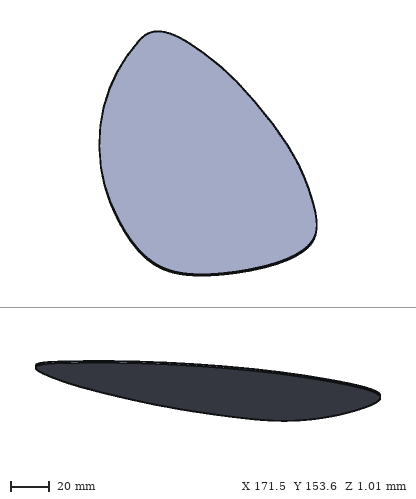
import cadquery as cq

thickness = 1.01

outline_points = [
    (-85.5, 62.0),
    (-75.8, 25.9),
    (-39.6, -30.5),
    (0.7, -63.8),
    (39.1, -76.5),
    (67.5, -57.5),
    (84.7, -11.5),
    (66.0, 13.0),
    (36.9, 35.8),
    (-14.0, 62.0),
    (-55.4, 75.0),
    (-85.0, 70.3),
]

outline = cq.Workplane("XY").spline(outline_points, periodic=True).close()

result = outline.extrude(thickness)